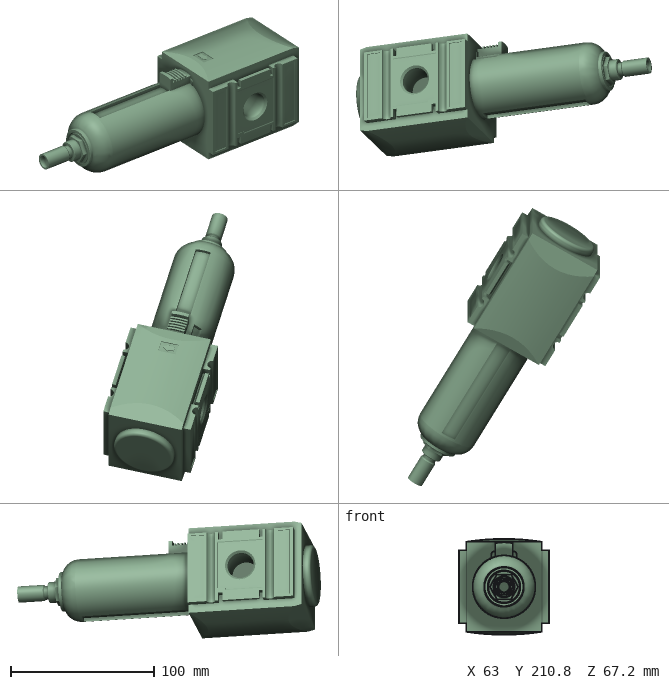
import cadquery as cq
import math


BLOCK_HALF_WIDTH = 26.4
BLOCK_LENGTH = 75.0
BLOCK_HALF_HEIGHT = 31.5
CROWN_RISE = 2.1
CROWN_RUN = 8.5

CAP_LENGTH = 5.0
CAP_DROP = 1.3
KNOB_DIAMETER = 43.0
KNOB_LENGTH = 5.3
KNOB_ROUND = 2.1

FLANGE_SPAN = 63.0
FLANGE_HALF_SPAN = FLANGE_SPAN / 2
FLANGE_HALF_HEIGHT = 25.5
FLANGE_GROOVE_RADIUS = 3.2
FLANGE_GROOVE_OFFSET = 20.9
PANEL_EDGE = 2.3
PANEL_LENGTH = 9.5
PANEL_HALF_HEIGHT = 23.8
PANEL_DEPTH = 0.6
SLOT_FLOOR = 19.8
SLOT_RANGES = [(21.7, 24.9), (50.8, 53.3)]
LIP_INNER_TOP = 28.9
LIP_INNER_FLOOR = 27.0

PORT_Y = BLOCK_LENGTH / 2
PORT_DIAMETER = 18.5
PORT_MOUTH_DIAMETER = 21.5
PORT_DEPTH = 21.0
SEAT_LENGTH = 31.8
SEAT_HALF_HEIGHT = 18.1
SEAT_WALL_SLOPE = 0.6
SEAT_DEPTH = 0.2
SEAT_KEY_LENGTH = 5.7
SEAT_KEY_HEIGHT = 1.7

ARROW_FRAME = (12.5, 8.5)
ARROW_FRAME_Y = 16.0
ARROW_DEPTH = 0.6
ARROW_LENGTH = 8.5
ARROW_HEAD_LENGTH = 4.2
ARROW_HEAD_HALF = 3.0
ARROW_SHAFT_HALF = 1.7

BOWL_RADIUS = 22.0
BOWL_STRAIGHT = 81.4
BOWL_ROUND = 12.0
BOSS_DIAMETER = 27.8
BOSS_END = 95.0
BOSS_CHAMFER = 0.5
SOCKET_DIAMETER = 23.0
SOCKET_DEPTH = 2.5
WINDOW_WIDTH = 10.8
WINDOW_START = 3.0
WINDOW_END = 79.9
RECESS_DEPTH = 2.5
SIDE_SLOT_INNER_X = 9.7
SIDE_SLOT_ANGLE = 44.0

LATCH_WIDTH = 12.2
LATCH_LENGTH = 18.0
LATCH_RADIUS = 27.6
TOOTH_RADIUS = 29.0
LATCH_LIP_RADIUS = 31.0
TOOTH_START = 3.8
TOOTH_PITCH = 2.3
TOOTH_COUNT = 5
SHOULDER_WIDTH = 17.5
SHOULDER_TOP = 24.7
SHOULDER_ROUND = 2.0
SHOULDER_THICKNESS = 0.6

DISC_DIAMETER = 22.0
HEX_ACROSS_FLATS = 17.0
HEX_END = 98.0
COLLAR_DIAMETER = 14.8
COLLAR_CHAMFER = 0.5
COLLAR_END = 103.7
NECK_DIAMETER = 9.7
NECK_END = 106.5
TUBE_DIAMETER = 11.4
TUBE_END = 125.5
TUBE_BORE = 7.5
TUBE_MOUTH = 8.9
BORE_DEPTH = 25.3


def box_between(x_range, y_range, z_range):
    """Axis-aligned box from the lower and upper limit along each axis."""
    sizes = [high - low for low, high in (x_range, y_range, z_range)]
    corner = (x_range[0], y_range[0], z_range[0])
    return cq.Workplane("XY").box(*sizes, centered=False).translate(corner)


def cylinder_y(diameter, y_start, y_end):
    """Cylinder about the bowl axis between two Y positions, y_start being the higher one."""
    return cq.Workplane("XZ", origin=(0, y_start, 0)).circle(diameter / 2).extrude(y_start - y_end)


def top_and_bottom(shape):
    """The shape together with its mirror image on the other Z side."""
    return shape.union(shape.mirror("XY"))


def make_block():
    """Block with arched top and bottom whose crowns taper off towards both ends."""
    crown = BLOCK_HALF_HEIGHT + CROWN_RISE
    arched = (
        cq.Workplane("XZ")
        .moveTo(-BLOCK_HALF_WIDTH, -BLOCK_HALF_HEIGHT)
        .threePointArc((0, -crown), (BLOCK_HALF_WIDTH, -BLOCK_HALF_HEIGHT))
        .lineTo(BLOCK_HALF_WIDTH, BLOCK_HALF_HEIGHT)
        .threePointArc((0, crown), (-BLOCK_HALF_WIDTH, BLOCK_HALF_HEIGHT))
        .close()
        .extrude(-BLOCK_LENGTH)
    )
    upper = [
        (0, BLOCK_HALF_HEIGHT),
        (CROWN_RUN, crown),
        (BLOCK_LENGTH - CROWN_RUN, crown),
        (BLOCK_LENGTH, BLOCK_HALF_HEIGHT),
    ]
    lower = [(y, -z) for y, z in reversed(upper)]
    tapered = cq.Workplane("YZ").polyline(upper + lower).close().extrude(BLOCK_HALF_WIDTH, both=True)
    return arched.intersect(tapered)


def make_cap():
    """End cap behind the block, tapering in height, with the round knob on it."""
    cap_end = BLOCK_LENGTH + CAP_LENGTH
    end_height = BLOCK_HALF_HEIGHT - CAP_DROP
    cap = (
        cq.Workplane("YZ")
        .polyline([
            (BLOCK_LENGTH, -BLOCK_HALF_HEIGHT),
            (cap_end, -end_height),
            (cap_end, end_height),
            (BLOCK_LENGTH, BLOCK_HALF_HEIGHT),
        ])
        .close()
        .extrude(BLOCK_HALF_WIDTH, both=True)
    )
    knob = cylinder_y(KNOB_DIAMETER, cap_end + KNOB_LENGTH, cap_end).faces(">Y").edges().fillet(KNOB_ROUND)
    return cap.union(knob)


def make_flange():
    """Mounting flange on the +X side with its grooves, panels, slots and undercut lip."""
    whole_height = (-FLANGE_HALF_HEIGHT, FLANGE_HALF_HEIGHT)
    flange = box_between((BLOCK_HALF_WIDTH, FLANGE_HALF_SPAN), (0, BLOCK_LENGTH), whole_height)

    for side in (-1, 1):
        groove = (
            cq.Workplane("XY")
            .center(FLANGE_HALF_SPAN, PORT_Y + side * FLANGE_GROOVE_OFFSET)
            .circle(FLANGE_GROOVE_RADIUS)
            .extrude(FLANGE_HALF_HEIGHT, both=True)
        )
        flange = flange.cut(groove)

    panel_height = (-PANEL_HALF_HEIGHT, PANEL_HALF_HEIGHT)
    panel_x = (FLANGE_HALF_SPAN - PANEL_DEPTH, FLANGE_HALF_SPAN)
    for panel_y in (PANEL_EDGE, BLOCK_LENGTH - PANEL_EDGE - PANEL_LENGTH):
        panel = box_between(panel_x, (panel_y, panel_y + PANEL_LENGTH), panel_height)
        flange = flange.cut(panel)

    slot_x = (BLOCK_HALF_WIDTH, FLANGE_HALF_SPAN)
    for slot_range in SLOT_RANGES:
        slot = box_between(slot_x, slot_range, (SLOT_FLOOR, FLANGE_HALF_HEIGHT))
        flange = flange.cut(top_and_bottom(slot))

    lip_start = SLOT_RANGES[0][1]
    lip_end = SLOT_RANGES[1][0]
    lip_gap = (
        cq.Workplane("XZ", origin=(0, lip_start, 0))
        .polyline([
            (BLOCK_HALF_WIDTH, SLOT_FLOOR),
            (LIP_INNER_FLOOR, SLOT_FLOOR),
            (LIP_INNER_TOP, FLANGE_HALF_HEIGHT),
            (BLOCK_HALF_WIDTH, FLANGE_HALF_HEIGHT),
        ])
        .close()
        .extrude(lip_start - lip_end)
    )
    return flange.cut(top_and_bottom(lip_gap))


def make_port_cut():
    """Cut for the +X port: shallow keyed seat, conical mouth and blind bore."""
    floor_x = FLANGE_HALF_SPAN - SEAT_DEPTH
    floor_half = SEAT_HALF_HEIGHT - SEAT_WALL_SLOPE
    seat_start = PORT_Y - SEAT_LENGTH / 2
    seat = (
        cq.Workplane("XZ", origin=(0, seat_start, 0))
        .polyline([
            (floor_x, -floor_half),
            (FLANGE_HALF_SPAN, -SEAT_HALF_HEIGHT),
            (FLANGE_HALF_SPAN, SEAT_HALF_HEIGHT),
            (floor_x, floor_half),
        ])
        .close()
        .extrude(-SEAT_LENGTH)
    )
    key = box_between(
        (floor_x, FLANGE_HALF_SPAN),
        (seat_start, seat_start + SEAT_KEY_LENGTH),
        (-SEAT_HALF_HEIGHT, -SEAT_HALF_HEIGHT + SEAT_KEY_HEIGHT),
    )
    bore_radius = PORT_DIAMETER / 2
    mouth_radius = PORT_MOUTH_DIAMETER / 2
    bore = (
        cq.Workplane("XY")
        .polyline([
            (floor_x - PORT_DEPTH, PORT_Y),
            (floor_x - PORT_DEPTH, PORT_Y + bore_radius),
            (floor_x - (mouth_radius - bore_radius), PORT_Y + bore_radius),
            (floor_x, PORT_Y + mouth_radius),
            (floor_x, PORT_Y),
        ])
        .close()
        .revolve(360, (0, PORT_Y, 0), (1, PORT_Y, 0))
    )
    return seat.cut(key).union(bore)


def make_arrow_cut():
    """Shallow rectangular recess in the top that leaves a raised flow arrow pointing to +X."""
    crown = BLOCK_HALF_HEIGHT + CROWN_RISE
    plane = cq.Workplane("XY", origin=(0, ARROW_FRAME_Y, crown - ARROW_DEPTH))
    tip = ARROW_LENGTH / 2
    head = tip - ARROW_HEAD_LENGTH
    arrow = (
        plane.polyline([
            (-tip, -ARROW_SHAFT_HALF),
            (head, -ARROW_SHAFT_HALF),
            (head, -ARROW_HEAD_HALF),
            (tip, 0),
            (head, ARROW_HEAD_HALF),
            (head, ARROW_SHAFT_HALF),
            (-tip, ARROW_SHAFT_HALF),
        ])
        .close()
        .extrude(ARROW_DEPTH)
    )
    return plane.rect(*ARROW_FRAME).extrude(ARROW_DEPTH).cut(arrow)


def make_housing():
    """Block, end cap and both flanges; flush faces of these parts stay separate faces."""
    housing = make_block().union(make_cap(), clean=False)
    flange = make_flange()
    for side in (flange, flange.mirror("YZ")):
        housing = housing.union(side, clean=False)
    port = make_port_cut()
    for side in (port, port.mirror("YZ")):
        housing = housing.cut(side, clean=False)
    return housing.cut(make_arrow_cut(), clean=False)


def make_bowl_shell():
    """Round bowl with a rounded end and the drain boss."""
    bowl_end = BOWL_STRAIGHT + BOWL_ROUND
    bowl = cylinder_y(2 * BOWL_RADIUS, 0, -bowl_end).faces("<Y").edges().fillet(BOWL_ROUND)
    boss = cylinder_y(BOSS_DIAMETER, -BOWL_STRAIGHT, -BOSS_END).faces("<Y").edges().chamfer(BOSS_CHAMFER)
    return bowl.union(boss)


def make_recess_core():
    """Cylinder that forms the concentric floor of the recesses in the bowl."""
    return cylinder_y(2 * (BOWL_RADIUS - RECESS_DEPTH), 0, -BOWL_STRAIGHT)


def make_window_cut():
    """Long recess with a floor concentric to the bowl, on the top and on the bottom."""
    strip = box_between(
        (-WINDOW_WIDTH / 2, WINDOW_WIDTH / 2), (-WINDOW_END, -WINDOW_START), (0, 2 * BOWL_RADIUS)
    )
    return top_and_bottom(strip.cut(make_recess_core()))


def make_side_slot_cut():
    """Short slot beside the latch on the -X side: upright inner wall, radial outer wall."""
    angle = math.radians(SIDE_SLOT_ANGLE)
    reach = 2 * BOWL_RADIUS
    wedge = (
        cq.Workplane("XZ")
        .polyline([
            (-SIDE_SLOT_INNER_X, SIDE_SLOT_INNER_X / math.tan(angle)),
            (-SIDE_SLOT_INNER_X, reach * math.cos(angle)),
            (-reach * math.sin(angle), reach * math.cos(angle)),
        ])
        .close()
        .extrude(LATCH_LENGTH)
    )
    return wedge.cut(make_recess_core())


def make_latch():
    """Toothed latch with top faces concentric to the bowl, and the shoulder around its root."""
    lip_start = TOOTH_START + TOOTH_COUNT * TOOTH_PITCH
    core = cylinder_y(2 * LATCH_RADIUS, 0, -LATCH_LENGTH)
    for index in range(TOOTH_COUNT):
        tooth_y = TOOTH_START + index * TOOTH_PITCH
        core = core.union(cylinder_y(2 * TOOTH_RADIUS, -tooth_y, -tooth_y - TOOTH_PITCH / 2))
    core = core.union(cylinder_y(2 * LATCH_LIP_RADIUS, -lip_start, -LATCH_LENGTH))
    strip = box_between(
        (-LATCH_WIDTH / 2, LATCH_WIDTH / 2),
        (-LATCH_LENGTH, 0),
        (0, LATCH_LIP_RADIUS),
    )
    shoulder = (
        box_between((-SHOULDER_WIDTH / 2, SHOULDER_WIDTH / 2), (-SHOULDER_THICKNESS, 0), (0, SHOULDER_TOP))
        .edges("|Y and >Z")
        .fillet(SHOULDER_ROUND)
    )
    return core.intersect(strip).union(shoulder)


def make_body():
    """Housing, bowl and latch as one solid, with the socket for the drain."""
    body = make_housing()
    bowl = make_bowl_shell().cut(make_window_cut()).cut(make_side_slot_cut()).union(make_latch())
    socket = cylinder_y(SOCKET_DIAMETER, -BOSS_END + SOCKET_DEPTH, -BOSS_END)
    return body.union(bowl.cut(socket), clean=False)


def make_drain():
    """Drain fitting: disc in the socket, hexagon, collar, neck and bored hose tube."""
    drain = cylinder_y(DISC_DIAMETER, -BOSS_END + SOCKET_DEPTH, -BOSS_END)
    across_corners = HEX_ACROSS_FLATS / math.cos(math.pi / 6)
    hex_plane = cq.Workplane("XZ", origin=(0, -BOSS_END, 0))
    hexagon = hex_plane.polygon(6, across_corners).extrude(HEX_END - BOSS_END)
    collar = cylinder_y(COLLAR_DIAMETER, -HEX_END, -COLLAR_END).faces("<Y").edges().chamfer(COLLAR_CHAMFER)
    tube_chamfer = (TUBE_DIAMETER - NECK_DIAMETER) / 2
    tube = cylinder_y(TUBE_DIAMETER, -NECK_END, -TUBE_END).faces(">Y").edges().chamfer(tube_chamfer)
    parts = [
        hexagon,
        collar,
        cylinder_y(NECK_DIAMETER, -COLLAR_END, -NECK_END),
        tube,
    ]
    for part in parts:
        drain = drain.union(part)
    bore = cylinder_y(TUBE_BORE, -TUBE_END + BORE_DEPTH, -TUBE_END)
    drain = drain.cut(bore)
    mouth_edge = drain.faces("<Y").edges(cq.selectors.RadiusNthSelector(0))
    return mouth_edge.chamfer((TUBE_MOUTH - TUBE_BORE) / 2)


body = make_body()
drain = make_drain()
result = cq.Compound.makeCompound([body.solids().val(), drain.solids().val()])